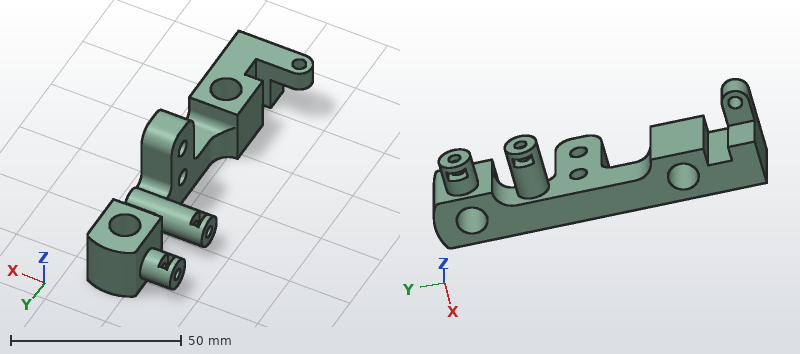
import cadquery as cq

total_length = 98.3
total_height = 30.0

block_depth = 16.0
block_height = 18.1
web_depth = 10.0
web_height = 10.0
plan_fillet = block_depth - web_depth
step_fillet = 3.0
near_block_start = 15.2
near_block_end = near_block_start + block_depth
far_block_start = 79.2
far_corner = 96.1
end_corner_radius = 1.5
block_hole_diameter = 9.0
near_hole_y = near_block_end - block_depth / 2
far_hole_y = far_block_start + block_depth / 2

lug_center = 54.5
lug_width = 14.0
lug_corner_radius = 5.0
lug_hole_diameter = 5.0
lug_hole_heights = (10.0, 21.9)
lug_start = lug_center - lug_width / 2
lug_end = lug_center + lug_width / 2

arm_reach = 26.3
arm_width = 8.1
arm_underside = 11.5
arm_hole_diameter = 4.0
leg_depth = 14.85

pin_diameter = 9.5
pin_tip = 26.0
pin_height = 6.9
far_pin_y = 88.1
pin_spacing = 20.0
bore_diameter = 3.5
bore_depth = pin_tip - block_depth
slot_length = 2.8
slot_width = 5.8
slot_setback = 2.0


def make_body():
    """Plan outline with coved corners, trimmed to the stepped side profile."""
    diagonal = plan_fillet * 0.5**0.5
    plan = (
        cq.Workplane("XY")
        .moveTo(0, 0)
        .lineTo(-leg_depth, 0)
        .lineTo(-leg_depth, arm_width)
        .lineTo(-web_depth, arm_width)
        .lineTo(-web_depth, near_block_start)
        .lineTo(-block_depth, near_block_start)
        .lineTo(-block_depth, near_block_end)
        .threePointArc(
            (-block_depth + diagonal, near_block_end + plan_fillet - diagonal),
            (-web_depth, near_block_end + plan_fillet),
        )
        .lineTo(-web_depth, far_block_start - plan_fillet)
        .threePointArc(
            (-block_depth + diagonal, far_block_start - plan_fillet + diagonal),
            (-block_depth, far_block_start),
        )
        .lineTo(-block_depth, far_corner)
        .threePointArc((-block_depth / 2, total_length), (0, far_corner))
        .close()
        .extrude(total_height)
        .edges("|Z")
        .edges(">Y")
        .fillet(end_corner_radius)
    )

    profile = (
        cq.Workplane("YZ")
        .polyline([
            (0, 0),
            (total_length, 0),
            (total_length, block_height),
            (far_block_start, block_height),
            (far_block_start, web_height),
            (lug_end, web_height),
            (lug_end, total_height),
            (lug_start, total_height),
            (lug_start, web_height),
            (near_block_end, web_height),
            (near_block_end, block_height),
            (0, block_height),
        ])
        .close()
        .extrude(-block_depth)
    )
    foot_y = (near_block_end, lug_start, lug_end, far_block_start)
    for y in foot_y:
        foot = cq.selectors.NearestToPointSelector((-block_depth / 2, y, web_height))
        profile = profile.edges(foot).fillet(step_fillet)
    profile = profile.edges("|X and >Z").fillet(lug_corner_radius)
    return plan.intersect(profile)


def make_arm():
    """Round-ended arm, level with the block tops."""
    arm_radius = arm_width / 2
    end_center = -arm_reach + arm_radius
    return (
        cq.Workplane("XY")
        .workplane(offset=arm_underside)
        .moveTo(0, 0)
        .lineTo(end_center, 0)
        .threePointArc((-arm_reach, arm_radius), (end_center, arm_width))
        .lineTo(0, arm_width)
        .close()
        .extrude(block_height - arm_underside)
        .faces(">Z")
        .workplane(origin=(end_center, arm_radius, block_height))
        .hole(arm_hole_diameter)
    )


def rod(y, z, diameter, start, end):
    """Cylinder along X between two distances from the back face."""
    return (
        cq.Workplane("YZ", origin=(-start, y, z))
        .circle(diameter / 2)
        .extrude(start - end)
    )


def nut_slot(y):
    """Vertical slot through a pin near its tip."""
    slot_center = -pin_tip + slot_setback + slot_length / 2
    return (
        cq.Workplane("XY")
        .box(slot_length, slot_width, 2 * pin_diameter)
        .translate((slot_center, y, pin_height))
    )


result = make_body().union(make_arm())

far_pin = rod(far_pin_y, pin_height, pin_diameter, web_depth, pin_tip)
near_pin_y = far_pin_y - pin_spacing
near_pin = rod(near_pin_y, pin_height, pin_diameter, 0, pin_tip)
result = result.union(far_pin).union(near_pin)
for y in (near_pin_y, far_pin_y):
    result = result.cut(rod(y, pin_height, bore_diameter, pin_tip - bore_depth, pin_tip))
    result = result.cut(nut_slot(y))

block_holes = (
    cq.Workplane("XY")
    .pushPoints([(-block_depth / 2, near_hole_y), (-block_depth / 2, far_hole_y)])
    .circle(block_hole_diameter / 2)
    .extrude(block_height)
)
result = result.cut(block_holes)

for height in lug_hole_heights:
    result = result.cut(rod(lug_center, height, lug_hole_diameter, 0, web_depth))